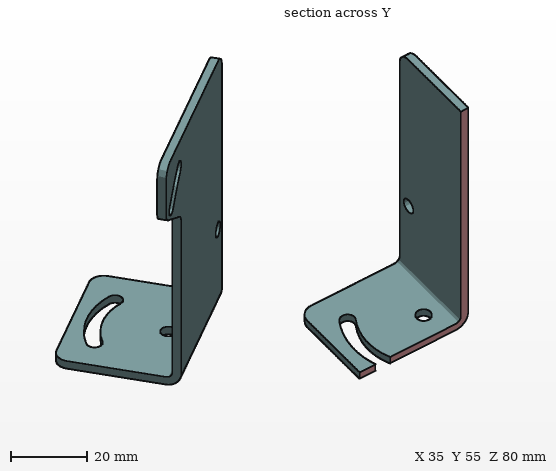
import cadquery as cq
import math

depth = 35.0
height = 80.0
base_width = 40.0
wall_width = 55.0
thickness = 2.5
inner_bend_radius = 1.8
outer_bend_radius = inner_bend_radius + thickness
corner_radius = 4.0

wing_slope = math.radians(30)
wing_root_height = 54.9
wing_overhang = wall_width - base_width
wing_tip_height = wing_root_height + wing_overhang * math.tan(wing_slope)

hole_diameter = 4.3
base_pivot = (26.0, base_width / 2)
base_slot_radius = 20.0
base_slot_angles = (150, 210)
wall_pivot = (base_width - 4.0, 26.0)
wall_slot_radius = 59.6
wall_slot_angles = (130, 140)

inner_face_x = depth - thickness


def polar_point(center, radius, degrees):
    angle = math.radians(degrees)
    return (center[0] + radius * math.cos(angle), center[1] + radius * math.sin(angle))


def arc_slot(plane, center, radius, angles, length):
    """Solid with a curved slot outline and round ends, centred on a pivot."""
    start, end = angles
    middle = (start + end) / 2
    half_width = hole_diameter / 2
    inner = radius - half_width
    outer = radius + half_width
    start_tip = polar_point(polar_point(center, radius, start), half_width, start - 90)
    end_tip = polar_point(polar_point(center, radius, end), half_width, end + 90)
    return (
        cq.Workplane(plane)
        .moveTo(*polar_point(center, outer, start))
        .threePointArc(polar_point(center, outer, middle), polar_point(center, outer, end))
        .threePointArc(end_tip, polar_point(center, inner, end))
        .threePointArc(polar_point(center, inner, middle), polar_point(center, inner, start))
        .threePointArc(start_tip, polar_point(center, outer, start))
        .close()
        .extrude(length)
    )


def round_hole(plane, center, length):
    return cq.Workplane(plane).center(*center).circle(hole_diameter / 2).extrude(length)


def bent_plate():
    """L-shaped base and wall with a rounded bend, as wide as the base."""
    plate = (
        cq.Workplane("XZ")
        .polyline([
            (0, 0),
            (depth, 0),
            (depth, height),
            (inner_face_x, height),
            (inner_face_x, thickness),
            (0, thickness),
        ])
        .close()
        .extrude(-base_width)
    )
    inner_corner = cq.selectors.NearestToPointSelector((inner_face_x, base_width / 2, thickness))
    outer_corner = cq.selectors.NearestToPointSelector((depth, base_width / 2, 0))
    plate = plate.edges(inner_corner).fillet(inner_bend_radius)
    plate = plate.edges(outer_corner).fillet(outer_bend_radius)
    return plate.edges("|Z and <X").fillet(corner_radius)


def wing():
    """Sloped overhang that continues the wall past the base."""
    return (
        cq.Workplane("YZ", origin=(inner_face_x, 0, 0))
        .polyline([
            (0, wing_root_height),
            (-wing_overhang, wing_tip_height),
            (-wing_overhang, height),
            (0, height),
        ])
        .close()
        .extrude(thickness)
    )


def round_wall_corners(body):
    corners = [
        (base_width, height),
        (-wing_overhang, height),
        (-wing_overhang, wing_tip_height),
        (0, wing_root_height),
    ]
    for y, z in corners:
        corner_edge = cq.selectors.NearestToPointSelector((depth - thickness / 2, y, z))
        body = body.edges("|X").edges(corner_edge).fillet(corner_radius)
    return body


result = round_wall_corners(bent_plate().union(wing()).clean())

result = result.cut(round_hole("XY", base_pivot, thickness))
result = result.cut(arc_slot("XY", base_pivot, base_slot_radius, base_slot_angles, thickness))

result = result.cut(round_hole("YZ", wall_pivot, depth))
result = result.cut(arc_slot("YZ", wall_pivot, wall_slot_radius, wall_slot_angles, depth))